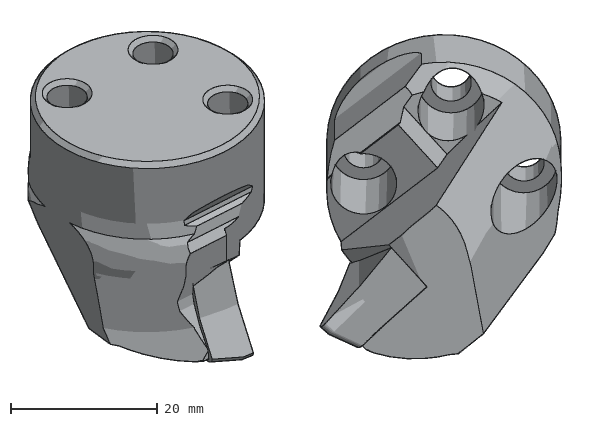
import cadquery as cq
import math

flange_radius = 16.0
flange_height = 10.0
flange_chamfer = 0.7

hole_offset = 7.77
hole_positions = [
    (-hole_offset, hole_offset),
    (hole_offset, hole_offset),
    (-hole_offset, -hole_offset),
]
hole_diameter = 5.5
hole_chamfer = 0.65
counterbore_diameter = 9.0
counterbore_floor = 4.5

shoulder_z = -2.2
shoulder_radius = 16.5
bulge_mid_z = -4.2
bulge_mid_radius = 17.54
bulge_z = -6.6
bulge_radius = 17.95
waist_z = -7.9
flare_start_z = -8.9
flare_start_radius = 18.05
flare_z = -16.1
flare_radius = 18.9
rim_start_z = -16.5
rim_start_radius = 19.05
rim_z = -20.5
rim_radius = 20.7

front_y = -16.3
facet_start_x = -4.1
facet_angle = 8.0
oblique_run = 0.893
tangent_y = -7.7
sole_back_x = -0.8
sole_back_z = -17.0
heel_x = 0.7
heel_z = -17.4
sole_slope = -0.06
toe_x = 8.0
toe_y = -6.0
toe_z = -17.9
toe_slope_x = -0.25
toe_slope_y = -0.085

back_flat_y = 14.0
back_flat_top = 4.9
back_fillet = 1.7
back_chamfer_z = -3.3
back_chamfer_y = 11.5
back_chamfer_foot_z = -6.8
ledge_z = -7.15
ledge_step_x = -1.5
ledge_ramp = [(-flange_radius, -2.0), (-7.75, -4.0), (-3.3, -5.4)]
leg_top_y = 3.7
leg_taper = 0.08

chip_side_profile = [
    (flange_radius, 2.0),
    (15.2, 1.0),
    (14.75, 0),
    (14.9, -0.7),
    (15.6, -1.2),
    (15.75, -3.0),
    (16.4, -4.5),
    (16.4, -9.5),
    (16.2, -11.7),
    (16.5, -13.2),
    (17.7, -16.3),
    (19.4, -19.4),
    (20.5, -30.0),
]

insert_front_y = -5.9
rake_line = [(7.9, 1.7), (14.5, 0.6), (22.2, 0.05)]
rake_end_y = rake_line[-1][1]
insert_top = (16.4, -8.8)
insert_bend = (18.6, -15.0)
insert_nose_high = (22.16, -21.2)
insert_nose_mid = (21.95, -21.75)
insert_nose_low = (21.1, -21.98)
insert_heel_bend = (15.3, -19.85)
insert_heel = (7.9, -18.0)
flank_y = -1.6
land_clearance = 0.35
front_clearance = 1.9
front_nose_lift = 0.8
top_clearance_share = 0.25
bend_clearance_share = 0.5

margin = 40.0
depth = 30.0


def prism_xz(points, y_min, y_max):
    """Straight-sided prism along Y from an outline in X and Z."""
    return cq.Workplane("XZ", origin=(0, y_max, 0)).polyline(points).close().extrude(y_max - y_min)


def make_flange():
    disc = cq.Workplane("XY").circle(flange_radius).extrude(flange_height)
    return disc.faces(">Z").edges().chamfer(flange_chamfer)


def make_flared_shank():
    """Revolved shank with a shoulder, a bulge, a waist and a conical flare."""
    return (
        cq.Workplane("XZ")
        .moveTo(0, 0)
        .lineTo(flange_radius, 0)
        .lineTo(shoulder_radius, shoulder_z)
        .threePointArc((bulge_mid_radius, bulge_mid_z), (bulge_radius, bulge_z))
        .lineTo(bulge_radius, waist_z)
        .lineTo(flare_start_radius, flare_start_z)
        .lineTo(flare_radius, flare_z)
        .lineTo(rim_start_radius, rim_start_z)
        .lineTo(rim_radius, rim_z)
        .lineTo(rim_radius, -depth)
        .lineTo(0, -depth)
        .close()
        .revolve(360, (0, 0, 0), (0, 1, 0))
    )


def make_oblique_envelope():
    """Round left side with a tangent flat, swept down and toward +X."""
    tangent_x = -math.sqrt(flange_radius**2 - tangent_y**2)
    flat_end_y = -margin
    flat_end_x = tangent_x + (flat_end_y - tangent_y) * tangent_y / -tangent_x
    outline = (
        cq.Workplane("XY")
        .moveTo(0, flange_radius)
        .threePointArc((-flange_radius, 0), (tangent_x, tangent_y))
        .lineTo(flat_end_x, flat_end_y)
        .lineTo(margin, flat_end_y)
        .lineTo(margin, flange_radius)
        .close()
    )
    face = cq.Face.makeFromWires(outline.wires().val())
    direction = cq.Vector(oblique_run * depth, 0, -depth)
    return cq.Workplane(cq.Solid.extrudeLinear(face, direction))


def make_front_envelope():
    """Keeps what lies behind the front flat and its small side facet."""
    facet_end_y = front_y + (margin + facet_start_x) * math.tan(math.radians(facet_angle))
    outline = [
        (-margin, facet_end_y),
        (facet_start_x, front_y),
        (margin, front_y),
        (margin, margin),
        (-margin, margin),
    ]
    return cq.Workplane("XY").polyline(outline).close().extrude(-depth)


def make_sole_relief():
    """Space below the sole, which drops away on a second plane toward the toe."""
    below_sole = [
        (-margin, sole_back_z),
        (sole_back_x, sole_back_z),
        (heel_x, heel_z),
        (margin, heel_z + sole_slope * (margin - heel_x)),
        (margin, -margin),
        (-margin, -margin),
    ]
    toe_front_z = toe_z + toe_slope_y * (-margin - toe_y)
    below_toe = (
        cq.Workplane("XZ", origin=(0, -margin, 0))
        .polyline([
            (-margin, toe_front_z + toe_slope_x * (-margin - toe_x)),
            (margin, toe_front_z + toe_slope_x * (margin - toe_x)),
            (margin, -2 * margin),
            (-margin, -2 * margin),
        ])
        .close()
    )
    toe_face = cq.Face.makeFromWires(below_toe.wires().val())
    along_toe = cq.Vector(0, 2 * margin, 2 * margin * toe_slope_y)
    toe_wedge = cq.Workplane(cq.Solid.extrudeLinear(toe_face, along_toe))
    return prism_xz(below_sole, -margin, margin).intersect(toe_wedge)


def make_back_relief():
    """Flat with a rounded run-out behind the disc, and the chamfer under it."""
    run_out = back_fillet * (1 - math.sqrt(0.5))
    return (
        cq.Workplane("YZ", origin=(-margin, 0, 0))
        .moveTo(margin, back_flat_top)
        .lineTo(back_flat_y + back_fillet, back_flat_top)
        .threePointArc(
            (back_flat_y + run_out, back_flat_top - run_out),
            (back_flat_y, back_flat_top - back_fillet),
        )
        .lineTo(back_flat_y, back_chamfer_z)
        .lineTo(back_chamfer_y, back_chamfer_foot_z)
        .lineTo(back_chamfer_y, -depth)
        .lineTo(margin, -depth)
        .close()
        .extrude(2 * margin)
    )


def make_leg_relief():
    """Space behind the leg, below the sloping ledge."""
    beside_leg = (
        cq.Workplane("YZ", origin=(-margin, 0, 0))
        .polyline([(leg_top_y, 0), (leg_top_y - leg_taper * depth, -depth), (margin, -depth), (margin, 0)])
        .close()
        .extrude(2 * margin)
    )
    ledge = [
        *ledge_ramp,
        (ledge_step_x, ledge_z),
        (margin, ledge_z),
        (margin, -depth),
        (-flange_radius, -depth),
    ]
    return beside_leg.intersect(prism_xz(ledge, -margin, margin))


def make_back_side_relief():
    """Removes the bulge of the shank behind the rake face, outside the disc."""
    ring = cq.Workplane("XY").circle(margin).circle(flange_radius).extrude(-depth)
    behind_rake = cq.Workplane("XY").rect(2 * margin, margin).extrude(-depth)
    return ring.intersect(behind_rake.translate((0, rake_end_y + margin / 2, 0)))


def make_chip_side_relief():
    """Trims the +X side around the insert."""
    top_z = chip_side_profile[0][1]
    end_z = chip_side_profile[-1][1]
    outline = [*chip_side_profile, (margin, end_z), (margin, top_z)]
    return prism_xz(outline, -margin, margin)


def insert_outline(y, clearance, lift):
    """Outline of the insert at one depth; the clearance grows toward the nose."""
    return (
        cq.Workplane("XZ", origin=(0, y, 0))
        .moveTo(insert_top[0] - clearance * top_clearance_share, insert_top[1])
        .lineTo(insert_bend[0] - clearance * bend_clearance_share, insert_bend[1])
        .lineTo(insert_nose_high[0] - clearance, insert_nose_high[1] + lift)
        .threePointArc(
            (insert_nose_mid[0] - clearance, insert_nose_mid[1] + lift),
            (insert_nose_low[0] - clearance, insert_nose_low[1] + lift),
        )
        .lineTo(*insert_heel_bend)
        .lineTo(*insert_heel)
        .close()
        .wires()
        .val()
    )


def insert_blank():
    """Insert with clearance on its flanks, before the rake face is cut."""
    front = insert_outline(insert_front_y, front_clearance, front_nose_lift)
    flank = insert_outline(flank_y, land_clearance, 0)
    back = insert_outline(rake_line[0][1], 0, 0)
    relieved = cq.Workplane(cq.Solid.makeLoft([front, flank], True))
    return relieved.union(cq.Workplane(cq.Solid.makeLoft([flank, back], True)))


def rake_side(top_z):
    """Everything behind the rake face, below the given height."""
    inner_x = rake_line[0][0]
    return (
        cq.Workplane("XY", origin=(0, 0, -depth))
        .polyline([*rake_line, (margin, rake_end_y), (margin, margin), (inner_x, margin)])
        .close()
        .extrude(depth + top_z)
    )


def make_insert():
    return insert_blank().cut(rake_side(0))


def clear_insert_space(body):
    """Opens the space under the insert and behind its rake face, then the seat itself."""
    under_insert = prism_xz(
        [
            insert_heel,
            insert_heel_bend,
            insert_nose_low,
            (insert_nose_low[0], -depth),
            (-depth, -depth),
            (-depth, insert_heel[1]),
        ],
        insert_front_y,
        margin,
    )
    opening = cq.Face.makeFromWires(insert_outline(rake_line[0][1], 0, 0))
    chip_space = cq.Solid.extrudeLinear(opening, cq.Vector(0, margin, 0))
    body = body.cut(under_insert)
    body = body.cut(rake_side(insert_heel[1]))
    body = body.cut(cq.Workplane(chip_space))
    return body.cut(insert_blank())


def drill_screw_holes(body):
    for x, y in hole_positions:
        top = cq.Workplane("XY", origin=(x, y, flange_height))
        bore = top.circle(hole_diameter / 2).extrude(-depth)
        mouth = cq.Solid.makeCone(
            hole_diameter / 2,
            hole_diameter / 2 + hole_chamfer,
            hole_chamfer,
            pnt=cq.Vector(x, y, flange_height - hole_chamfer),
        )
        counterbore = (
            cq.Workplane("XY", origin=(x, y, counterbore_floor))
            .circle(counterbore_diameter / 2)
            .extrude(-depth)
        )
        body = body.cut(bore).cut(cq.Workplane(mouth)).cut(counterbore)
    return body


def make_holder():
    shank = make_flared_shank()
    shank = shank.intersect(make_oblique_envelope())
    shank = shank.intersect(make_front_envelope())
    shank = shank.cut(make_sole_relief())
    shank = shank.cut(make_back_side_relief())
    shank = shank.cut(make_leg_relief())
    body = make_flange().union(shank)
    body = body.cut(make_back_relief())
    body = body.cut(make_chip_side_relief())
    body = clear_insert_space(body)
    return drill_screw_holes(body)


holder = make_holder()
insert = make_insert()
result = cq.Compound.makeCompound([*holder.solids().vals(), *insert.solids().vals()])